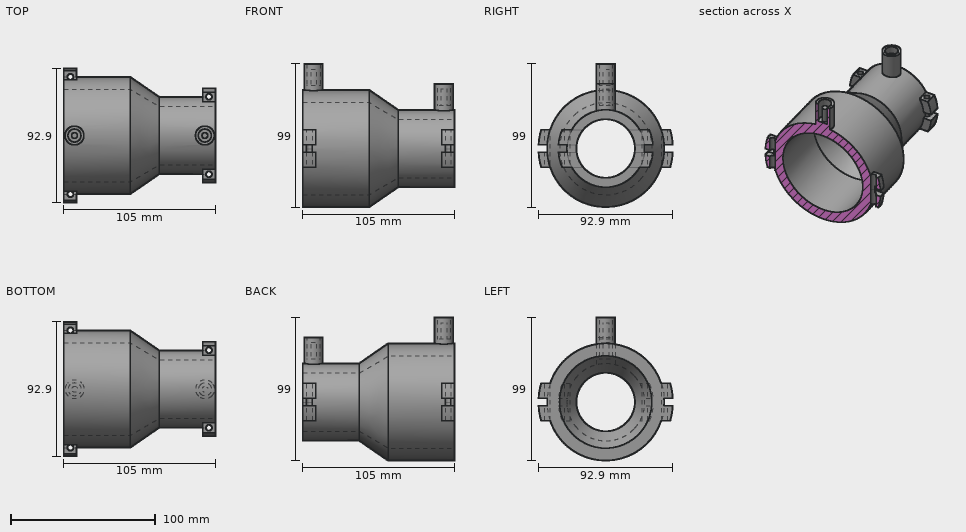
import cadquery as cq

LENGTH = 105.0
CONE_START = 46.0
CONE_END = 65.9
LARGE_RADIUS = 40.5
SMALL_RADIUS = 26.8
LARGE_BORE_RADIUS = 31.9
SMALL_BORE_RADIUS = 20.2

LUG_LENGTH = 8.9
LUG_RISE = 6.0
LUG_HEIGHT = 26.0
SLOT_HEIGHT = 5.0
SCREW_HOLE_RADIUS = 2.0
SCREW_HOLE_INSET = 4.6

PORT_INSET = 7.5
PORT_RADIUS = 6.5
PORT_HEIGHT = 18.0
SOCKET_RADIUS = 4.5
SOCKET_DEPTH = 14.7
PIN_RADIUS = 2.0
PIN_HEIGHT = 11.1


def reducer(large_radius, small_radius):
    """Solid of revolution about X: large cylinder, cone, small cylinder."""
    return (
        cq.Workplane("XY")
        .moveTo(0, 0)
        .lineTo(0, large_radius)
        .lineTo(CONE_START, large_radius)
        .lineTo(CONE_END, small_radius)
        .lineTo(LENGTH, small_radius)
        .lineTo(LENGTH, 0)
        .close()
        .revolve(360, (0, 0, 0), (1, 0, 0))
    )


def x_cylinder(radius, start, length):
    return cq.Workplane("YZ", origin=(start, 0, 0)).circle(radius).extrude(length)


def z_cylinder(x, y, bottom, radius, height):
    return cq.Workplane("XY", origin=(x, y, bottom)).circle(radius).extrude(height)


def lug_ring(start, body_radius):
    """Both lug pairs of one end: a disc cut to a flat band and slotted outside the body."""
    tip_radius = body_radius + LUG_RISE
    middle = start + LUG_LENGTH / 2
    disc = x_cylinder(tip_radius, start, LUG_LENGTH)
    band = cq.Workplane("XY").box(LUG_LENGTH, 2 * tip_radius, LUG_HEIGHT).translate((middle, 0, 0))
    slot = cq.Workplane("XY").box(LUG_LENGTH, 2 * tip_radius, SLOT_HEIGHT).translate((middle, 0, 0))
    return disc.intersect(band).cut(slot)


def screw_holes(x, body_radius):
    """Vertical holes through the lugs, centred on the body surface at both sides."""
    return (
        cq.Workplane("XY", origin=(x, 0, 0))
        .pushPoints([(0, -body_radius), (0, body_radius)])
        .circle(SCREW_HOLE_RADIUS)
        .extrude(LUG_HEIGHT / 2, both=True)
    )


def socket(x, port_top):
    """Blind round socket with a contact pin left standing on its floor."""
    floor = port_top - SOCKET_DEPTH
    pin = z_cylinder(x, 0, floor, PIN_RADIUS, PIN_HEIGHT)
    return z_cylinder(x, 0, floor, SOCKET_RADIUS, SOCKET_DEPTH).cut(pin)


ends = [
    (LARGE_RADIUS, 0, SCREW_HOLE_INSET, PORT_INSET),
    (SMALL_RADIUS, LENGTH - LUG_LENGTH, LENGTH - SCREW_HOLE_INSET, LENGTH - PORT_INSET),
]

result = reducer(LARGE_RADIUS, SMALL_RADIUS)
for body_radius, lug_start, hole_x, port_x in ends:
    port_top = body_radius + PORT_HEIGHT
    result = result.union(lug_ring(lug_start, body_radius))
    result = result.union(z_cylinder(port_x, 0, 0, PORT_RADIUS, port_top))
    result = result.cut(screw_holes(hole_x, body_radius))
    result = result.cut(socket(port_x, port_top))
result = result.cut(reducer(LARGE_BORE_RADIUS, SMALL_BORE_RADIUS))